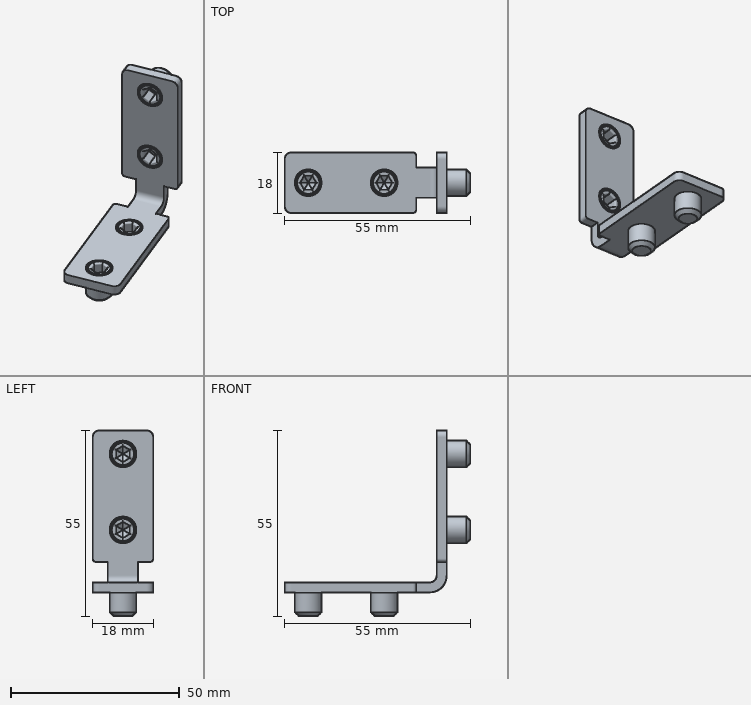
import cadquery as cq
import math

overall_size = 55.0
screw_projection = 7.0
plate_thickness = 3.0
plate_width = 18.0
pad_length = 39.0
pad_end_radius = 2.0
pad_neck_radius = 1.0
neck_width = 9.0
bend_inner_radius = 2.0

screws_per_leg = 2
screw_spacing = 22.5
screw_end_distance = 7.0

screw_diameter = 8.0
tip_chamfer = 1.2
groove_outer_diameter = 7.2
groove_inner_diameter = 6.55
groove_slope = 32
socket_sides = 6
socket_flats = 4.1
socket_mouth_radius = 0.4
socket_depth = 4.0
socket_point_slope = 32

leg_length = overall_size - screw_projection
neck_end = leg_length - pad_length
bend_outer_radius = bend_inner_radius + plate_thickness
screw_radius = screw_diameter / 2
first_screw_position = leg_length - screw_end_distance
screw_positions = [first_screw_position - i * screw_spacing for i in range(screws_per_leg)]

leg_frames = [
    cq.Plane(origin=(0, 0, 0), xDir=(-1, 0, 0), normal=(0, 0, 1)),
    cq.Plane(origin=(0, 0, 0), xDir=(0, 0, 1), normal=(-1, 0, 0)),
]


def make_pad(frame):
    """Wide plate of one leg, with larger corner radii at its free end than at the neck."""
    half_width = plate_width / 2
    return (
        cq.Workplane(frame)
        .moveTo(neck_end + pad_neck_radius, -half_width)
        .lineTo(leg_length - pad_end_radius, -half_width)
        .radiusArc((leg_length, -half_width + pad_end_radius), -pad_end_radius)
        .lineTo(leg_length, half_width - pad_end_radius)
        .radiusArc((leg_length - pad_end_radius, half_width), -pad_end_radius)
        .lineTo(neck_end + pad_neck_radius, half_width)
        .radiusArc((neck_end, half_width - pad_neck_radius), -pad_neck_radius)
        .lineTo(neck_end, -half_width + pad_neck_radius)
        .radiusArc((neck_end + pad_neck_radius, -half_width), -pad_neck_radius)
        .close()
        .extrude(plate_thickness)
    )


def make_neck():
    """Narrow bent strip that joins the two pads."""
    return (
        cq.Workplane("XZ")
        .moveTo(-neck_end, 0)
        .lineTo(-bend_outer_radius, 0)
        .radiusArc((0, bend_outer_radius), -bend_outer_radius)
        .lineTo(0, neck_end)
        .lineTo(-plate_thickness, neck_end)
        .lineTo(-plate_thickness, bend_outer_radius)
        .radiusArc((-bend_outer_radius, plate_thickness), bend_inner_radius)
        .lineTo(-neck_end, plate_thickness)
        .close()
        .extrude(neck_width / 2, both=True)
    )


def make_screw_holes(frame):
    """Cylinders to remove from one leg, one for each screw."""
    return (
        cq.Workplane(frame)
        .pushPoints([(position, 0) for position in screw_positions])
        .circle(screw_radius)
        .extrude(plate_thickness)
    )


def make_bracket():
    """Bent bracket with a plain round hole for each screw."""
    bracket = make_neck()
    for frame in leg_frames:
        bracket = bracket.union(make_pad(frame)).cut(make_screw_holes(frame))
    return bracket


def make_screw_blank():
    """Turned body on the Z axis: chamfered tip, and a shallow ring groove in the flush end."""
    tip = -screw_projection
    groove_width = (groove_outer_diameter - groove_inner_diameter) / 2
    groove_bottom = plate_thickness - groove_width * math.tan(math.radians(groove_slope))
    return (
        cq.Workplane("XZ")
        .moveTo(0, tip)
        .lineTo(screw_radius - tip_chamfer, tip)
        .lineTo(screw_radius, tip + tip_chamfer)
        .lineTo(screw_radius, plate_thickness)
        .lineTo(groove_outer_diameter / 2, plate_thickness)
        .lineTo(groove_outer_diameter / 2, groove_bottom)
        .lineTo(groove_inner_diameter / 2, plate_thickness)
        .lineTo(0, plate_thickness)
        .close()
        .revolve(360, (0, 0), (0, 1))
    )


def make_socket():
    """Hexagonal key socket with straight walls, ending in a pyramid."""
    corner_diameter = socket_flats / math.cos(math.pi / socket_sides)
    point_depth = socket_flats / 2 * math.tan(math.radians(socket_point_slope))
    floor_taper = 90 - socket_point_slope
    floor = cq.Workplane("XY", origin=(0, 0, plate_thickness - socket_depth))
    walls = floor.polygon(socket_sides, corner_diameter).extrude(socket_depth)
    point = floor.polygon(socket_sides, corner_diameter).extrude(-point_depth, taper=floor_taper)
    return walls.union(point)


def make_screw(frame, position):
    """Headless socket screw, flush with the inner face of a leg."""
    screw = make_screw_blank().cut(make_socket())
    screw = screw.faces(">Z").edges("%LINE").fillet(socket_mouth_radius)
    place = cq.Location(frame) * cq.Location(cq.Vector(position, 0, 0))
    return screw.val().moved(place)


bracket = make_bracket()
screws = [make_screw(frame, position) for frame in leg_frames for position in screw_positions]

result = cq.Compound.makeCompound([bracket.val(), *screws])